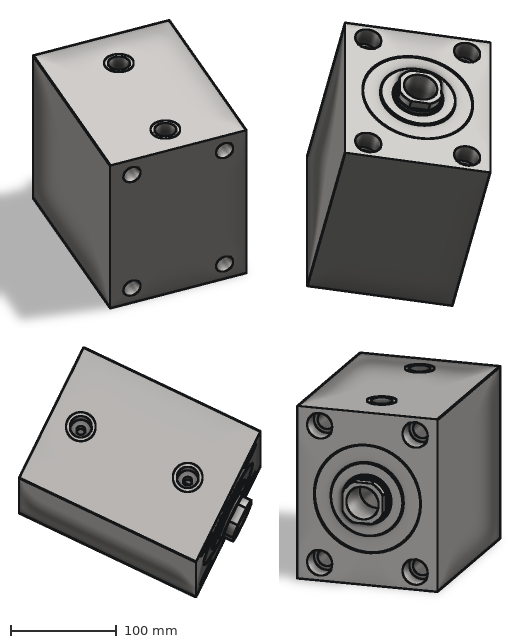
import cadquery as cq
import math


length = 185.5
width = 140.0
height = 170.0
edge_chamfer = 0.5

hole_spacing_y = 95.0
hole_spacing_z = 135.0
hole_diameter = 17.5
head_diameter = 25.0
head_depth = 20.0

port_positions_x = (42.5, 154.5)
port_diameter = 20.6
port_depth = 18.0
spot_face_diameter = 28.0
spot_face_depth = 0.2
passage_diameter = 8.5

gland_diameter = 105.0
gland_depth = 60.0
gland_seat_chamfer = 0.8
boss_diameter = 72.5
boss_height = 2.0
boss_chamfer = 0.8
wiper_recess_diameter = 48.6
wiper_recess_depth = 1.0

rod_diameter = 45.0
rod_protrusion = 14.5
rod_shoulder = 5.5
rod_chamfer = 0.5
wrench_size = 40.0
thread_diameter = 32.0
thread_depth = 40.0
drill_point_angle = 118.0

gland_radius = gland_diameter / 2
boss_radius = boss_diameter / 2
rod_radius = rod_diameter / 2
tip_radius = rod_radius - rod_chamfer
thread_radius = thread_diameter / 2
drill_point_length = thread_radius / math.tan(math.radians(drill_point_angle / 2))


def turned(profile):
    """Revolve a closed (x, radius) profile about the X axis."""
    return cq.Workplane("XZ").polyline(profile).close().revolve(360, (0, 0, 0), (1, 0, 0))


def cylinder_down(x, diameter, top, bottom):
    """Vertical cylinder centred on the top face's middle line."""
    return cq.Workplane("XY", origin=(x, 0, bottom)).circle(diameter / 2).extrude(top - bottom)


def gland_seat():
    """Blind bore for the gland, with a chamfered mouth."""
    return turned([
        (0, 0),
        (0, gland_radius + gland_seat_chamfer),
        (gland_seat_chamfer, gland_radius),
        (gland_depth, gland_radius),
        (gland_depth, 0),
    ])


def port(x):
    """Spot face, threaded port and a passage down to the level of the gland's top."""
    top = height / 2
    spot_face = cylinder_down(x, spot_face_diameter, top, top - spot_face_depth)
    thread = cylinder_down(x, port_diameter, top, top - port_depth)
    passage = cylinder_down(x, passage_diameter, top, gland_radius)
    return spot_face.union(thread).union(passage)


def make_housing():
    block = cq.Workplane("XY").box(length, width, height, centered=(False, True, True))
    block = block.edges("|X").chamfer(edge_chamfer)
    block = (
        block.faces("<X").workplane(centerOption="CenterOfBoundBox")
        .rect(hole_spacing_y, hole_spacing_z, forConstruction=True).vertices()
        .cboreHole(hole_diameter, head_diameter, head_depth)
    )
    block = block.cut(gland_seat())
    for x in port_positions_x:
        block = block.cut(port(x))
    return block


def make_gland():
    """Plug flush with the front face, with a raised boss and a wiper recess round the rod."""
    wiper_radius = wiper_recess_diameter / 2
    recess_floor = wiper_recess_depth - boss_height
    return turned([
        (gland_depth, rod_radius),
        (gland_depth, gland_radius),
        (0, gland_radius),
        (0, boss_radius),
        (boss_chamfer - boss_height, boss_radius),
        (-boss_height, boss_radius - boss_chamfer),
        (-boss_height, wiper_radius),
        (recess_floor, wiper_radius),
        (recess_floor, rod_radius),
    ])


def make_rod():
    """Rod ending level with the gland's inner end, with a square wrench end and a threaded hole."""
    body = turned([
        (gland_depth, 0),
        (gland_depth, rod_radius),
        (rod_chamfer - rod_shoulder, rod_radius),
        (-rod_shoulder, tip_radius),
        (-rod_protrusion, tip_radius),
        (-rod_protrusion, 0),
    ])
    tip_length = rod_protrusion - rod_shoulder
    tip = cq.Workplane("YZ", origin=(-rod_protrusion, 0, 0))
    tip_stock = tip.circle(rod_radius).extrude(tip_length)
    square = tip.rect(wrench_size, wrench_size).extrude(tip_length)
    thread_end = thread_depth - rod_protrusion
    thread_hole = turned([
        (-rod_protrusion, 0),
        (-rod_protrusion, thread_radius),
        (thread_end, thread_radius),
        (thread_end + drill_point_length, 0),
    ])
    return body.cut(tip_stock.cut(square)).cut(thread_hole)


housing = make_housing()
gland = make_gland()
rod = make_rod()

result = cq.Compound.makeCompound([housing.val(), gland.val(), rod.val()])